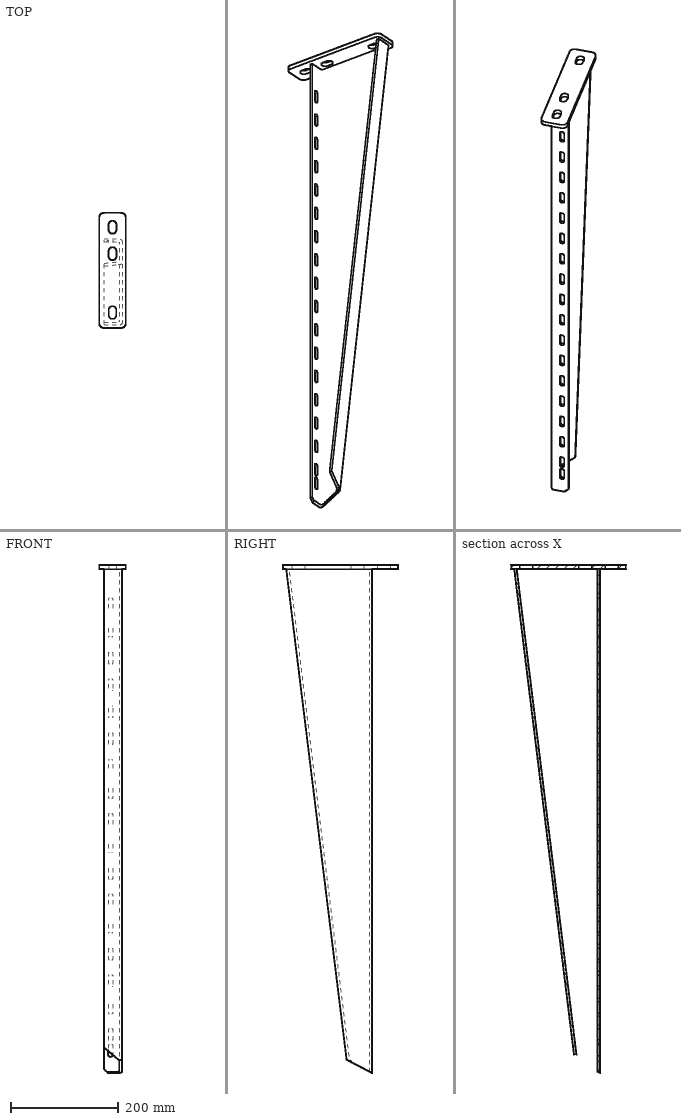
import cadquery as cq
import math

total_height = 948.0

plate_width = 50.0
plate_length = 215.0
plate_thickness = 8.0
plate_corner_radius = 9.5
plate_slot_length = 24.0
plate_slot_width = 14.0
plate_slot_places = [-79.0, 31.0, 81.0]

channel_left = -16.0
channel_right = 18.0
sheet_thickness = 5.0
inner_bend_radius = 4.0
outer_bend_radius = 6.0
back_y = 59.0
front_top_y = -101.0
front_bottom_y = 14.0

end_slope = 0.52
lip_slope = 0.85
corner_chamfer = 8.0

flange_slot_x = -4.0
flange_slot_width = 9.0
flange_slot_length = 25.0
row_slot_count = 17
row_bottom_z = 72.0
row_span = 803.0
extra_slot_z = 43.0

channel_height = total_height - plate_thickness
channel_width = channel_right - channel_left
taper_angle = math.atan((front_bottom_y - front_top_y) / channel_height)
row_pitch = row_span / (row_slot_count - 1)


def make_plate():
    """Mounting plate with rounded corners and three slots along Y."""
    base = cq.Workplane("XY").workplane(offset=channel_height)
    plate = base.rect(plate_width, plate_length).extrude(plate_thickness)
    plate = plate.edges("|Z").fillet(plate_corner_radius)
    slots = (
        base.pushPoints([(0, y) for y in plate_slot_places])
        .slot2D(plate_slot_length, plate_slot_width, 90)
        .extrude(plate_thickness)
    )
    return plate.cut(slots).solids()


def tapered_block(inset, bend_radius):
    """Tapered block, inset from the channel's outer faces, with both long +X edges rounded."""
    back = back_y - inset
    front_inset = inset / math.cos(taper_angle)
    block = (
        cq.Workplane("YZ")
        .workplane(offset=channel_left)
        .polyline([
            (back, 0),
            (front_bottom_y + front_inset, 0),
            (front_top_y + front_inset, channel_height),
            (back, channel_height),
        ])
        .close()
        .extrude(channel_width - inset)
    )
    return block.faces(">X").edges("not |Y").fillet(bend_radius)


def end_cutter():
    """Wedge below the lower end, which rises from the back flange to the front."""
    run = back_y - front_top_y
    return (
        cq.Workplane("YZ")
        .workplane(offset=channel_left)
        .polyline([(back_y, 0), (front_top_y, 0), (front_top_y, run * end_slope)])
        .close()
        .extrude(channel_width)
    )


def lip_cutter():
    """Wedge that ends the front flange on a diagonal rising towards its free edge."""
    web_x = channel_right - sheet_thickness
    web_end_z = (back_y - front_bottom_y) * end_slope
    free_edge_z = web_end_z + (web_x - channel_left) * lip_slope
    cut_back_y = back_y - sheet_thickness - inner_bend_radius
    return (
        cq.Workplane("XZ")
        .workplane(offset=-cut_back_y)
        .polyline([(channel_left, 0), (web_x, 0), (web_x, web_end_z), (channel_left, free_edge_z)])
        .close()
        .extrude(cut_back_y - front_top_y)
    )


def corner_cutter():
    """Triangle that chamfers the lower free corner of the back flange."""
    return (
        cq.Workplane("XZ")
        .workplane(offset=-back_y)
        .polyline([
            (channel_left, 0),
            (channel_left + corner_chamfer, 0),
            (channel_left, corner_chamfer),
        ])
        .close()
        .extrude(sheet_thickness)
    )


def flange_slot_cutter():
    """Upright slots through the back flange."""
    row_heights = [row_bottom_z + i * row_pitch for i in range(row_slot_count)]
    return (
        cq.Workplane("XZ")
        .workplane(offset=-back_y)
        .pushPoints([(flange_slot_x, z) for z in [extra_slot_z] + row_heights])
        .slot2D(flange_slot_length, flange_slot_width, 90)
        .extrude(sheet_thickness)
    )


def make_channel():
    """Tapered C-channel with a sloping lower end and a slotted back flange."""
    channel = tapered_block(0, outer_bend_radius)
    channel = channel.cut(tapered_block(sheet_thickness, inner_bend_radius))
    for cutter in (end_cutter(), lip_cutter(), corner_cutter(), flange_slot_cutter()):
        channel = channel.cut(cutter)
    return channel.solids()


plate = make_plate()
channel = make_channel()
result = cq.Compound.makeCompound([plate.val(), channel.val()])